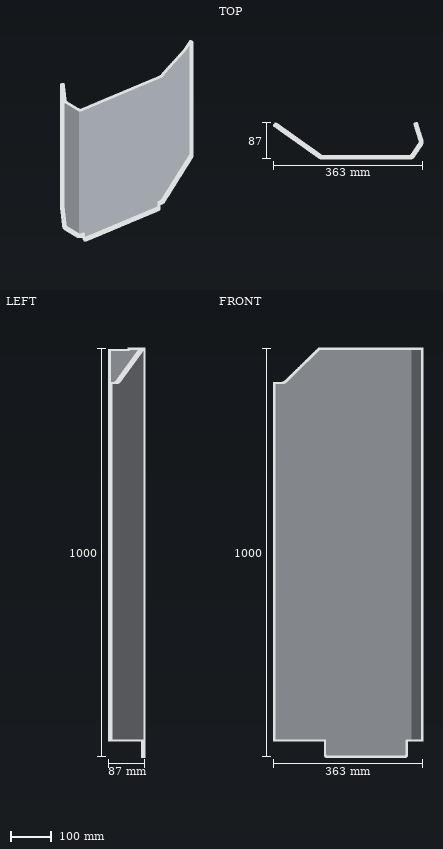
import cadquery as cq
import math

height = 1000.0
width = 363.0
depth = 87.0
thickness = 6.0
outer_bend_radius = 12.0

wing_tip = (0.0, 81.0)
wing_bend = (114.0, 0.0)
return_bend = (338.0, 0.0)
lip_bend_y = 39.0
lip_tip = (349.0, depth)

tab_height = 40.0
tab_left = 124.0
tab_right = 325.0
tab_corner_radius = 6.0
lip_drop = 3.0
wing_drop = 84.0
wing_ledge = 24.0
wing_slope_top_x = 110.0
wing_notch_radius = 15.0
margin = 10.0


def lip_corner_x():
    """Sharp corner position that puts the rounded lip bend at the full width."""
    corner_x = width
    for _ in range(20):
        lower = math.atan2(lip_bend_y - return_bend[1], corner_x - return_bend[0])
        upper = math.atan2(lip_tip[1] - lip_bend_y, lip_tip[0] - corner_x)
        bisector = (lower + upper) / 2 - math.pi / 2
        reach = outer_bend_radius / math.cos((upper - lower) / 2)
        corner_x = width + reach * math.cos(bisector) - outer_bend_radius
    return corner_x


def offset_inward(points, distance):
    """Offset an open polyline to its left, mitring the corners."""
    angles = [math.atan2(b[1] - a[1], b[0] - a[0]) for a, b in zip(points, points[1:])]
    before = angles[:1] + angles
    after = angles + angles[-1:]
    shifted = []
    for (x, y), start, end in zip(points, before, after):
        normal = (start + end + math.pi) / 2
        reach = distance / math.cos((end - start) / 2)
        shifted.append((x + reach * math.cos(normal), y + reach * math.sin(normal)))
    return shifted


def bend_edges(body, corners, radius):
    """Round the vertical edges standing at the given section corners."""
    for x, y in corners:
        edge = cq.selectors.NearestToPointSelector((x, y, height / 2))
        body = body.edges("|Z").edges(edge).fillet(radius)
    return body


def bent_sheet():
    outer = [wing_tip, wing_bend, return_bend, (lip_corner_x(), lip_bend_y), lip_tip]
    inner = offset_inward(outer, thickness)
    body = cq.Workplane("XY").polyline(outer + inner[::-1]).close().extrude(height)
    body = bend_edges(body, outer[1:-1], outer_bend_radius)
    return bend_edges(body, inner[1:-1], outer_bend_radius - thickness)


def cut_through_depth(points):
    """Prism across the whole depth from an XZ outline."""
    sketch = cq.Workplane("XZ", origin=(0, depth + margin, 0))
    return sketch.polyline(points).close().extrude(depth + 2 * margin)


def wing_cut():
    ledge_z = height - wing_drop
    top = height + margin
    outline = [
        (-margin, ledge_z),
        (wing_ledge, ledge_z),
        (wing_slope_top_x, height),
        (wing_slope_top_x, top),
        (-margin, top),
    ]
    corner = cq.selectors.NearestToPointSelector((wing_ledge, depth / 2, ledge_z))
    return cut_through_depth(outline).edges("|Y").edges(corner).fillet(wing_notch_radius)


def tab_cuts():
    """Material removed around the tab at the bottom."""
    length = width + 2 * margin
    across = depth + 2 * margin
    strip = cq.Workplane("XY").box(length, across, tab_height + margin, centered=False)
    strip = strip.translate((-margin, -margin, -margin))
    tab = cq.Workplane("XY").box(tab_right - tab_left, across, tab_height + margin, centered=False)
    tab = tab.edges("|Y and <Z").fillet(tab_corner_radius)
    return strip.cut(tab.translate((tab_left, -margin, 0)))


def lip_cut():
    """Lowers the top of the lip beyond its bend."""
    block = cq.Workplane("XY").box(width, depth, lip_drop + margin, centered=False)
    return block.translate((return_bend[0], lip_bend_y, height - lip_drop))


result = bent_sheet().cut(wing_cut()).cut(tab_cuts()).cut(lip_cut())